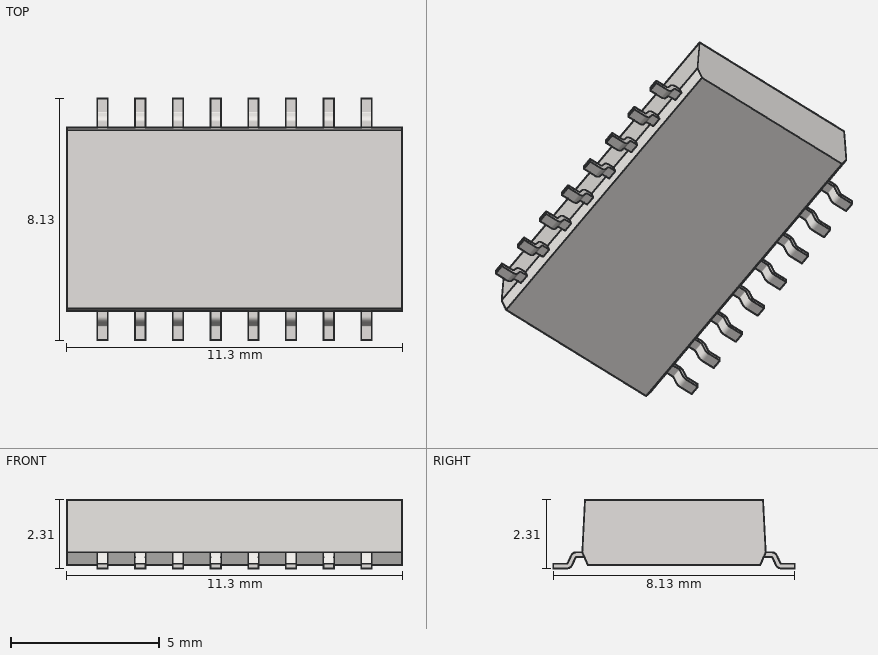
import cadquery as cq
import math

body_length = 11.28
tip_to_tip = 8.13
total_height = 2.31

standoff = 0.11
parting_height = 0.55
parting_width = 6.18
top_width = 6.0
bottom_width = 5.81

leads_per_side = 8
lead_row_span = 8.89
lead_width = 0.36
lead_thickness = 0.17
inner_bend_radius = 0.03
bend_angle = math.radians(65)
shoulder_length = 0.19
lead_embed = 0.14

lead_pitch = lead_row_span / (leads_per_side - 1)
outer_bend_radius = inner_bend_radius + lead_thickness


def make_body():
    section = [
        (-bottom_width / 2, standoff),
        (bottom_width / 2, standoff),
        (parting_width / 2, parting_height),
        (top_width / 2, total_height),
        (-top_width / 2, total_height),
        (-parting_width / 2, parting_height),
    ]
    return cq.Workplane("YZ").polyline(section).close().extrude(body_length / 2, both=True)


def on_circle(center, radius, angle):
    return (center[0] + radius * math.cos(angle), center[1] + radius * math.sin(angle))


def make_lead():
    """One lead on the +Y side, centred on X = 0, with its foot on Z = 0."""
    up = math.pi / 2
    down = -math.pi / 2
    slope_normal = up - bend_angle
    back_normal = slope_normal - math.pi
    shoulder_mid = (up + slope_normal) / 2
    foot_mid = (down + back_normal) / 2

    shoulder_center = (parting_width / 2 + shoulder_length, parting_height - outer_bend_radius)
    rise = outer_bend_radius - shoulder_center[1]
    reach = outer_bend_radius + inner_bend_radius - rise * math.sin(slope_normal)
    foot_center = (shoulder_center[0] + reach / math.cos(slope_normal), outer_bend_radius)

    root = parting_width / 2 - lead_embed
    tip = tip_to_tip / 2
    return (
        cq.Workplane("YZ")
        .moveTo(root, parting_height)
        .lineTo(shoulder_center[0], parting_height)
        .threePointArc(
            on_circle(shoulder_center, outer_bend_radius, shoulder_mid),
            on_circle(shoulder_center, outer_bend_radius, slope_normal),
        )
        .lineTo(*on_circle(foot_center, inner_bend_radius, back_normal))
        .threePointArc(
            on_circle(foot_center, inner_bend_radius, foot_mid),
            on_circle(foot_center, inner_bend_radius, down),
        )
        .lineTo(tip, lead_thickness)
        .lineTo(tip, 0)
        .lineTo(foot_center[0], 0)
        .threePointArc(
            on_circle(foot_center, outer_bend_radius, foot_mid),
            on_circle(foot_center, outer_bend_radius, back_normal),
        )
        .lineTo(*on_circle(shoulder_center, inner_bend_radius, slope_normal))
        .threePointArc(
            on_circle(shoulder_center, inner_bend_radius, shoulder_mid),
            on_circle(shoulder_center, inner_bend_radius, up),
        )
        .lineTo(root, parting_height - lead_thickness)
        .close()
        .extrude(lead_width / 2, both=True)
    )


result = make_body()
right_lead = make_lead()
left_lead = right_lead.mirror("XZ")
for index in range(leads_per_side):
    x = index * lead_pitch - lead_row_span / 2
    result = result.union(right_lead.translate((x, 0, 0)))
    result = result.union(left_lead.translate((x, 0, 0)))